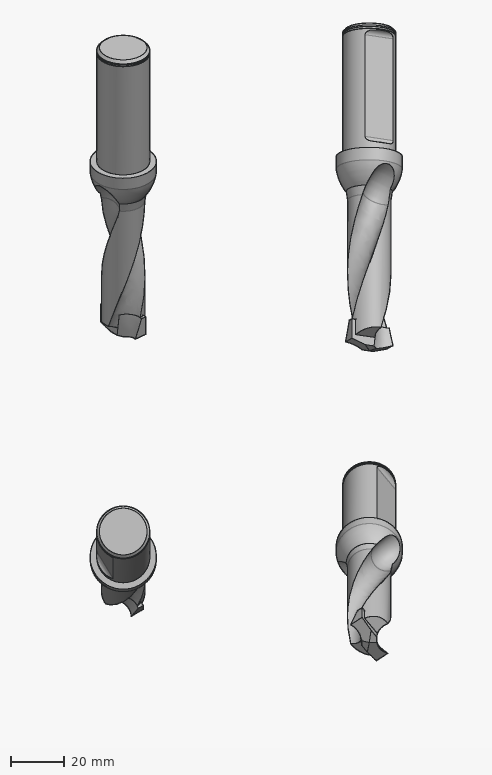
import cadquery as cq
import math

overall_length = 126.0

shank_radius = 10.02
shank_end_radius = 9.0
shank_end_chamfer = 1.1
groove_radius = 9.7
groove_top = 124.4
groove_bottom = 123.6
clamp_flat_y = 8.1
clamp_flat_bottom = 79.1
clamp_flat_top = 123.1
clamp_flat_end_radius = 2.0

collar_radius = 12.5
collar_top = 76.1
collar_bottom = 71.2
neck_top_radius = 8.7
neck_top = 62.5
neck_bottom = 59.0
cone_bulge_radius = 11.5
cone_bulge_z = 67.4

body_radius = 8.2
body_end_z = 7.0
body_end_slope = 0.55

flute_count = 2
flute_radius = 5.8
web_radius = 2.8
flute_lead = 144.9
flute_top = 58.0
flute_top_angle = -95.5
runout_radius = 13.5
runout_sweep = 90.0
flute_center = web_radius + flute_radius
flute_bottom = -7.5
helix_angle = math.degrees(math.atan(2 * math.pi * flute_center / flute_lead))

insert_width = 18.1
insert_thickness = 6.7
insert_top = 10.5
insert_point_slope = 0.3
insert_web_slope = 0.3


def roof(plane, half_span, slope, apex_z, depth):
    """Prism bounded below by a V that rises from apex_z away from the axis."""
    edge_z = apex_z + slope * half_span
    return (
        cq.Workplane(plane)
        .polyline([
            (0, apex_z),
            (half_span, edge_z),
            (half_span, overall_length),
            (-half_span, overall_length),
            (-half_span, edge_z),
        ])
        .close()
        .extrude(depth, both=True)
    )


def make_flute_cutters():
    """Round-bottomed helical channel with an outward-curving runout at its top."""
    helix_height = flute_top - flute_bottom
    path = cq.Workplane(obj=cq.Wire.makeHelix(flute_lead, helix_height, flute_center))
    section_plane = cq.Plane(
        origin=(flute_center, 0, 0),
        xDir=(1, 0, 0),
        normal=(0, 2 * math.pi * flute_center, flute_lead),
    )
    channel = cq.Workplane(section_plane).circle(flute_radius).sweep(path, isFrenet=True)
    turn = 360 * helix_height / flute_lead
    channel = (
        channel.rotate((0, 0, 0), (0, 0, 1), flute_top_angle - turn)
        .translate((0, 0, flute_bottom))
    )

    bend_offset = runout_radius - flute_radius
    runout = (
        cq.Workplane("XY")
        .center(flute_center, 0)
        .circle(flute_radius)
        .revolve(runout_sweep, (bend_offset, 0, 0), (bend_offset, 1, 0))
        .rotate((0, 0, 0), (1, 0, 0), -helix_angle)
        .rotate((0, 0, 0), (0, 0, 1), flute_top_angle)
        .translate((0, 0, flute_top))
    )
    return [channel, runout]


def cut_flutes(body):
    cutters = make_flute_cutters()
    for index in range(flute_count):
        for cutter in cutters:
            body = body.cut(cutter.rotate((0, 0, 0), (0, 0, 1), index * 360 / flute_count))
    return body


def make_clamp_flat():
    """Cutter for the shank flat; its end walls flare out through quarter rounds."""
    r = clamp_flat_end_radius
    return (
        cq.Workplane("YZ")
        .moveTo(clamp_flat_y, clamp_flat_bottom + r)
        .lineTo(clamp_flat_y, clamp_flat_top - r)
        .radiusArc((clamp_flat_y + r, clamp_flat_top), r)
        .lineTo(clamp_flat_y + r, clamp_flat_bottom)
        .radiusArc((clamp_flat_y, clamp_flat_bottom + r), r)
        .close()
        .extrude(shank_radius, both=True)
    )


def make_insert_slab():
    """Plain slab that fills the insert's pocket in the holder."""
    return cq.Workplane("XY").rect(insert_width, insert_thickness).extrude(insert_top)


def make_insert_blank():
    point = roof("XZ", insert_width, insert_point_slope, 0, insert_width)
    web_point = roof("YZ", insert_width, insert_web_slope, 0, insert_width)
    return make_insert_slab().intersect(point).intersect(web_point)


def make_holder():
    turned = (
        cq.Workplane("XZ")
        .lineTo(body_radius, 0)
        .lineTo(body_radius, neck_bottom)
        .lineTo(neck_top_radius, neck_top)
        .threePointArc((cone_bulge_radius, cone_bulge_z), (collar_radius, collar_bottom))
        .lineTo(collar_radius, collar_top)
        .lineTo(shank_radius, collar_top)
        .lineTo(shank_radius, groove_bottom)
        .lineTo(groove_radius, groove_bottom)
        .lineTo(groove_radius, groove_top)
        .lineTo(shank_radius, groove_top)
        .lineTo(shank_radius, overall_length - shank_end_chamfer)
        .lineTo(shank_end_radius, overall_length)
        .lineTo(0, overall_length)
        .close()
        .revolve(360, (0, 0, 0), (0, 1, 0))
    )
    apex_z = body_end_z - body_end_slope * body_radius
    body_end = roof("YZ", 2 * collar_radius, body_end_slope, apex_z, 2 * collar_radius)
    holder = turned.intersect(body_end).cut(make_clamp_flat())
    return cut_flutes(holder).cut(make_insert_slab())


holder = make_holder()
insert = cut_flutes(make_insert_blank())

result = cq.Compound.makeCompound([holder.val(), insert.val()])